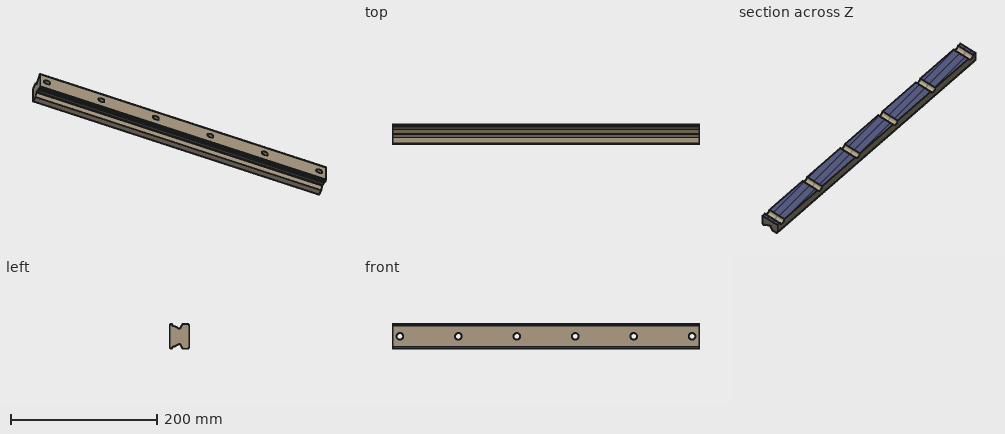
import cadquery as cq

LENGTH = 420.0
WIDTH = 27.5
HEIGHT = 34.0

FRONT_BEVEL_DEPTH = 1.5
FRONT_BEVEL_HEIGHT = 2.5
BACK_BEVEL = 1.5

GROOVE_DEPTH = 6.5
GROOVE_FLOOR_HALF_WIDTH = 0.65
GROOVE_FRONT_LIP_Y = -4.0
GROOVE_BACK_LIP_Y = 10.5
RELIEF_END_Y = 6.7
RELIEF_END_DEPTH = 3.0
RELIEF_MID_Y = 9.2
RELIEF_MID_DEPTH = 2.0

HOLE_COUNT = 6
HOLE_DIAMETER = 9.0
HOLE_END_MARGIN = 10.0


def half_rail():
    """Upper half of the rail, from the mid-plane to the grooved top face."""
    front = -WIDTH / 2
    back = WIDTH / 2
    top = HEIGHT / 2
    groove_floor = top - GROOVE_DEPTH
    return (
        cq.Workplane("YZ")
        .moveTo(front, 0)
        .lineTo(front, top - FRONT_BEVEL_HEIGHT)
        .lineTo(front + FRONT_BEVEL_DEPTH, top)
        .lineTo(GROOVE_FRONT_LIP_Y, top)
        .lineTo(-GROOVE_FLOOR_HALF_WIDTH, groove_floor)
        .lineTo(GROOVE_FLOOR_HALF_WIDTH, groove_floor)
        .lineTo(RELIEF_END_Y, top - RELIEF_END_DEPTH)
        .threePointArc((RELIEF_MID_Y, top - RELIEF_MID_DEPTH), (GROOVE_BACK_LIP_Y, top))
        .lineTo(back - BACK_BEVEL, top)
        .lineTo(back, top - BACK_BEVEL)
        .lineTo(back, 0)
        .close()
        .extrude(LENGTH / 2, both=True)
    )


def mounting_holes():
    """Evenly spaced cylinders along the centre line of the rail."""
    pitch = (LENGTH - 2 * HOLE_END_MARGIN) / (HOLE_COUNT - 1)
    return (
        cq.Workplane("XZ")
        .rarray(pitch, 4, HOLE_COUNT, 1)
        .circle(HOLE_DIAMETER / 2)
        .extrude(WIDTH, both=True)
    )


upper_half = half_rail()
rail = upper_half.union(upper_half.mirror("XY")).clean()
result = rail.cut(mounting_holes())